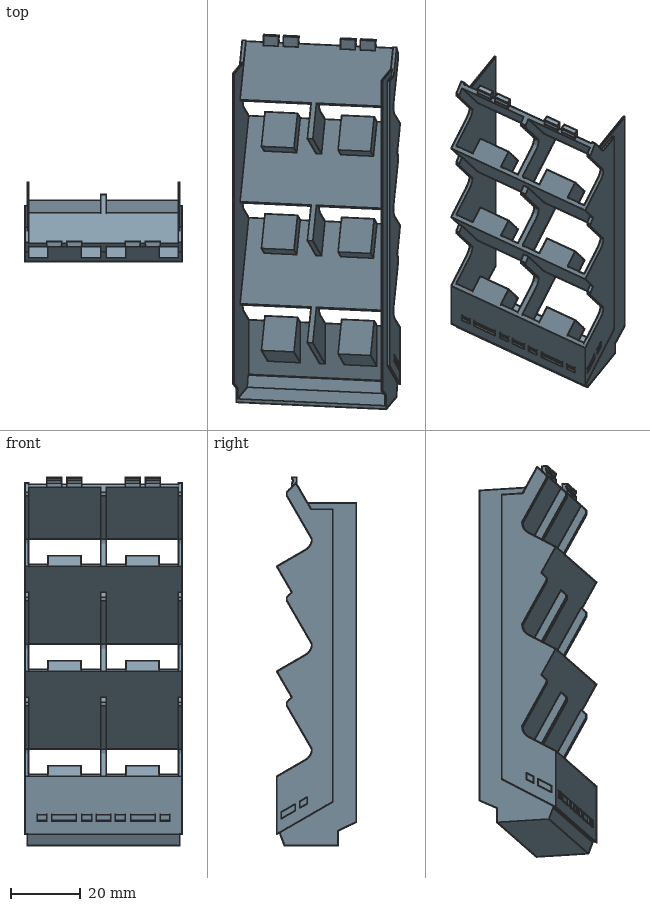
import cadquery as cq
import math

TAN30 = math.tan(math.radians(30))
TAN60 = math.tan(math.radians(60))
COS30 = math.cos(math.radians(30))
SIN30 = math.sin(math.radians(30))

width = 45.0
depth = 22.8
height = 105.5
wall = 1.1

bay_count = 3
bay_pitch = 30.1
lowest_ledge_z = 19.8
ledge_heights = [lowest_ledge_z + bay_pitch * i for i in range(bay_count)]

valley_y = 10.0
rib_front_y = 2.8
rib_bottom_rise = 20.3
rib_top_rise = 21.2
valley_top_rise = rib_bottom_rise - (valley_y - rib_front_y) * TAN60

panel_thickness = 1.3
panel_end_y = 12.9

flange_back_y = 16.0
flange_bottom_z = 3.3
flange_top_z = 96.3
wall_back_offset = 1.7
plate_inset = 0.6
plate_bottom_z = 6.8
plate_top_z = 98.1

foot_back_y = 17.6
foot_step_z = 4.2
foot_toe_y = 2.2
foot_front_y = 1.0

divider_thickness = 1.6
divider_back_y = 19.3

block_width = 9.5
block_center_x = 11.2
block_back_y = 5.3

clip_width = 4.3
clip_centers = (8.3, 14.1)
clip_back_y = 5.8
clip_groove_depth = 0.4
clip_lip_z = 105.2
clip_groove_z = 104.5
clip_groove_bottom_z = 103.7

slot_depth = 0.5
slot_height = 1.9
slot_band_z = 7.0
front_slot_spans = ((-2.0, 2.0), (3.4, 6.2), (7.8, 14.9), (16.2, 19.0))
side_slot_spans = ((1.3, 5.3), (6.6, 8.8))


def panel_front_z(y, ledge_z):
    """Height of the front face of the panel that closes the bay above a ledge."""
    return ledge_z + bay_pitch - TAN60 * y


def panel_back_z(y, ledge_z, offset=panel_thickness):
    """Height of the plane set back from the panel's front face by the offset."""
    return panel_front_z(y, ledge_z) + offset / SIN30


def bevel_point(ledge_z, offset):
    """Where the 45 degree bevel over a bay meets the plane set back from the panel's front."""
    bevel_start = rib_top_rise - rib_front_y
    y = (bay_pitch + offset / SIN30 - bevel_start) / (TAN60 + 1)
    return (y, ledge_z + bevel_start + y)


def extrude_between(sketch, x_start, x_end):
    """Extrude a closed YZ outline from one X to another."""
    return sketch.extrude(x_end - x_start).translate((x_start, 0, 0))


def polygon(points, x_start, x_end):
    return extrude_between(cq.Workplane("YZ").polyline(points).close(), x_start, x_end)


def mirrored(body):
    return body.union(body.mirror("YZ"))


def add_bay_front(outline, ledge_z):
    """Continue an outline down the front of one bay, ending on its ledge tip."""
    corner_z = ledge_z + valley_y * TAN30
    valley_top_z = ledge_z + valley_top_rise
    radius = (valley_top_z - corner_z) / TAN30
    center_y = valley_y - radius
    arc_middle = (center_y + radius * COS30, valley_top_z - radius * SIN30)
    arc_end = (center_y + radius * SIN30, valley_top_z - radius * COS30)
    return (
        outline.lineTo(*bevel_point(ledge_z, 0))
        .lineTo(rib_front_y, ledge_z + rib_top_rise)
        .lineTo(rib_front_y, ledge_z + rib_bottom_rise)
        .lineTo(valley_y, valley_top_z)
        .threePointArc(arc_middle, arc_end)
        .lineTo(0, ledge_z)
    )


def make_flange():
    """Stepped part of a side wall, on the +X side."""
    top_ledge_z = ledge_heights[-1]
    tip_y, tip_z = bevel_point(top_ledge_z, wall_back_offset)
    neck_y = tip_y + (tip_z - flange_top_z) / TAN60
    outline = (
        cq.Workplane("YZ")
        .moveTo(flange_back_y, flange_top_z)
        .lineTo(neck_y, flange_top_z)
        .lineTo(tip_y, tip_z)
    )
    for ledge_z in reversed(ledge_heights):
        outline = add_bay_front(outline, ledge_z)
    outline = (
        outline.lineTo(0, flange_bottom_z)
        .lineTo(flange_back_y, flange_bottom_z + flange_back_y * TAN30)
        .close()
    )
    return extrude_between(outline, width / 2 - wall, width / 2)


def make_back_plate():
    """Thin plate that carries a side wall back and down to the foot, on the +X side."""
    top_ledge_z = ledge_heights[-1]
    tip_y, tip_z = bevel_point(top_ledge_z, wall_back_offset)
    top_front_y = tip_y + (tip_z - plate_top_z) / TAN60
    points = [
        (depth, plate_top_z),
        (depth, plate_bottom_z),
        (foot_back_y, foot_step_z),
        (foot_back_y, 0),
        (foot_toe_y, 0),
        (foot_front_y, flange_bottom_z),
        (valley_y, lowest_ledge_z),
        (valley_y, top_ledge_z + valley_top_rise),
        (top_front_y, plate_top_z),
    ]
    return polygon(points, width / 2 - wall, width / 2 - plate_inset)


def make_panel(ledge_z):
    """Sloped panel over a bay, reaching up to the ledge above or to the bevel of the top edge."""
    end_z = panel_front_z(panel_end_y, ledge_z)
    bottom_end = [
        (panel_end_y, end_z),
        (panel_end_y + panel_thickness * COS30, end_z + panel_thickness * SIN30),
    ]
    if ledge_z == ledge_heights[-1]:
        top_end = [bevel_point(ledge_z, panel_thickness), bevel_point(ledge_z, 0)]
        half = width / 2 - wall
    else:
        tip_z = panel_front_z(0, ledge_z)
        back_point = (panel_thickness * COS30, tip_z + panel_thickness * SIN30)
        top_end = [back_point, (0, tip_z)]
        half = width / 2
    return polygon(bottom_end + top_end, -half, half)


def floor_z(y, ledge_z):
    """Height of the 30 degree line where the divider and blocks of a bay end."""
    return panel_back_z(divider_back_y, ledge_z) - (divider_back_y - y) * TAN30


def floor_front_point(ledge_z):
    """Front end of that line: on the panel below, or on the front wall in the lowest bay."""
    front_y = 0
    if ledge_z != lowest_ledge_z:
        front_y = (ledge_z - floor_z(0, ledge_z)) / (TAN60 + TAN30)
    return (front_y, floor_z(front_y, ledge_z))


def make_divider(ledge_z):
    """Part of the central divider that belongs to one bay."""
    outline = cq.Workplane("YZ").moveTo(*bevel_point(ledge_z, panel_thickness))
    outline = add_bay_front(outline, ledge_z)
    outline = outline.lineTo(*floor_front_point(ledge_z))
    outline = outline.lineTo(divider_back_y, floor_z(divider_back_y, ledge_z)).close()
    return extrude_between(outline, -divider_thickness / 2, divider_thickness / 2)


def make_block(ledge_z):
    """Block behind a ledge on the +X side, its top flush with the ledge."""
    top_z = ledge_z + block_back_y * TAN30
    end_y = (top_z + block_back_y * TAN60 - floor_z(0, ledge_z)) / (TAN60 + TAN30)
    points = [
        (0, ledge_z),
        (block_back_y, top_z),
        (end_y, floor_z(end_y, ledge_z)),
        floor_front_point(ledge_z),
    ]
    return polygon(points, block_center_x - block_width / 2, block_center_x + block_width / 2)


def make_front_wall():
    points = [
        (0, flange_bottom_z),
        (0, lowest_ledge_z),
        (wall, lowest_ledge_z + wall * TAN30),
        (wall, flange_bottom_z + wall * TAN30),
    ]
    return polygon(points, -width / 2, width / 2)


def make_foot():
    """Floor and raked front of the foot."""
    half = width / 2 - plate_inset
    points = [
        (foot_back_y, 0),
        (foot_toe_y, 0),
        (foot_front_y, flange_bottom_z),
        (foot_front_y, flange_bottom_z + wall),
        (foot_front_y + wall, flange_bottom_z + wall),
        (foot_toe_y + wall, wall),
        (foot_back_y, wall),
    ]
    return polygon(points, -half, half)


def make_clip(center_x):
    """Clip standing on the top edge, with a groove across its front."""
    front_y, root_z = bevel_point(ledge_heights[-1], 0)
    groove_y = front_y + clip_groove_depth
    points = [
        (clip_back_y, root_z),
        (clip_back_y, height),
        (front_y, height),
        (front_y, clip_lip_z),
        (groove_y, clip_groove_z),
        (front_y, clip_groove_bottom_z),
        (front_y, root_z),
    ]
    return polygon(points, center_x - clip_width / 2, center_x + clip_width / 2)


def make_slot(y_start, y_end, x_start, x_end):
    """Cutter for a slot lying in the 30 degree band around the base."""
    start_z = slot_band_z + y_start * TAN30
    end_z = slot_band_z + y_end * TAN30
    points = [
        (y_start, start_z),
        (y_end, end_z),
        (y_end, end_z + slot_height),
        (y_start, start_z + slot_height),
    ]
    return polygon(points, x_start, x_end)


result = make_front_wall().union(make_foot())
result = result.union(mirrored(make_flange())).union(mirrored(make_back_plate()))
for ledge in ledge_heights:
    result = result.union(make_panel(ledge)).union(make_divider(ledge))
    result = result.union(mirrored(make_block(ledge)))
for clip_x in clip_centers:
    result = result.union(mirrored(make_clip(clip_x)))

for x_start, x_end in front_slot_spans:
    result = result.cut(mirrored(make_slot(0, slot_depth, x_start, x_end)))
for y_start, y_end in side_slot_spans:
    result = result.cut(mirrored(make_slot(y_start, y_end, width / 2 - slot_depth, width / 2)))